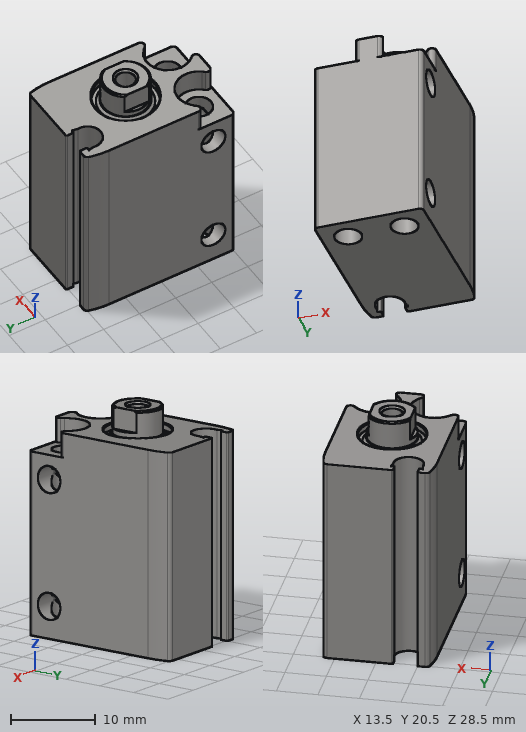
import cadquery as cq
import math

TOTAL_HEIGHT = 28.5
WIDTH = 13.5
DEPTH = 20.5
ROD_PROJECTION = 3.0
HOUSING_HEIGHT = TOTAL_HEIGHT - ROD_PROJECTION
FRONT_TO_ROD = 11.0
HALF_WIDTH = WIDTH / 2
FRONT_Y = -FRONT_TO_ROD
BACK_Y = DEPTH - FRONT_TO_ROD

CORNER_RADIUS = 0.5
SIDE_CURVE_LENGTH = 3.0
SIDE_CURVE_RADIUS = 10.0

MOUNT_DIAMETER = 3.3
MOUNT_X = 3.5
MOUNT_FROM_FRONT = 3.0
MOUNT_Y = FRONT_Y + MOUNT_FROM_FRONT
RECESS_RADIUS = 2.88
RECESS_LINK_LENGTH = 0.43
RECESS_DEPTH = 3.0
CROSS_HOLE_HEIGHTS = (4.0, 19.5)

SLOT_X = -MOUNT_X
MOUTH_HALF_WIDTH = 1.48
MOUTH_DEPTH = 1.05
MOUTH_EDGE_RADIUS = 0.15
SHOULDER_HALF_WIDTH = 1.9
SLOT_RADIUS = 1.8
SLOT_DEPTH = 3.85
SLOT_TAPER_ANGLE = math.radians(8)

ROD_DIAMETER = 6.0
ROD_BORE_DEPTH = 14.25
ROD_CHAMFER = 0.2
FLAT_WIDTH = 5.0
FLAT_LENGTH = 2.68
TAPPED_DIAMETER = 2.45
TAPPED_MOUTH_DIAMETER = 3.0
TAPPED_DEPTH = 5.0
DRILL_POINT_ANGLE = math.radians(118)
WIPER_DIAMETER = 8.1
WIPER_MOUTH_DIAMETER = 8.32
WIPER_MOUTH_CHAMFER = (WIPER_MOUTH_DIAMETER - WIPER_DIAMETER) / 2
WIPER_DEPTH = 0.85
LIP_BASE_DIAMETER = 7.0
LIP_TOP_DIAMETER = 6.15
LIP_HEIGHT = 0.43


def revolve_profile(points):
    """Solid of revolution about Z from (radius, height) points."""
    return cq.Workplane("XZ").polyline(points).close().revolve(360, (0, 0), (0, 1))


def make_housing_block():
    curve_start_y = BACK_Y - SIDE_CURVE_LENGTH

    def inset(length):
        return SIDE_CURVE_RADIUS - math.sqrt(SIDE_CURVE_RADIUS**2 - length**2)

    middle_x = HALF_WIDTH - inset(SIDE_CURVE_LENGTH / 2)
    middle_y = curve_start_y + SIDE_CURVE_LENGTH / 2
    back_x = HALF_WIDTH - inset(SIDE_CURVE_LENGTH)
    block = (
        cq.Workplane("XY")
        .moveTo(-HALF_WIDTH, FRONT_Y)
        .lineTo(HALF_WIDTH, FRONT_Y)
        .lineTo(HALF_WIDTH, curve_start_y)
        .threePointArc((middle_x, middle_y), (back_x, BACK_Y))
        .lineTo(-back_x, BACK_Y)
        .threePointArc((-middle_x, middle_y), (-HALF_WIDTH, curve_start_y))
        .close()
        .extrude(HOUSING_HEIGHT)
    )
    front_edges = block.edges("|Z and <Y")
    back_edges = block.edges("|Z and >Y")
    return block.newObject(front_edges.vals() + back_edges.vals()).fillet(CORNER_RADIUS)


def make_sensor_slot():
    """Keyhole slot with a narrow mouth, open at the back face."""
    center_y = BACK_Y - SLOT_DEPTH + SLOT_RADIUS
    shoulder_y = BACK_Y - MOUTH_DEPTH
    arc_x = SLOT_RADIUS * math.cos(SLOT_TAPER_ANGLE)
    arc_y = center_y + SLOT_RADIUS * math.sin(SLOT_TAPER_ANGLE)
    return (
        cq.Workplane("XY")
        .moveTo(SLOT_X - MOUTH_HALF_WIDTH, BACK_Y)
        .lineTo(SLOT_X - MOUTH_HALF_WIDTH, shoulder_y)
        .lineTo(SLOT_X - SHOULDER_HALF_WIDTH, shoulder_y)
        .lineTo(SLOT_X - arc_x, arc_y)
        .threePointArc((SLOT_X, BACK_Y - SLOT_DEPTH), (SLOT_X + arc_x, arc_y))
        .lineTo(SLOT_X + SHOULDER_HALF_WIDTH, shoulder_y)
        .lineTo(SLOT_X + MOUTH_HALF_WIDTH, shoulder_y)
        .lineTo(SLOT_X + MOUTH_HALF_WIDTH, BACK_Y)
        .close()
        .extrude(HOUSING_HEIGHT)
    )


def round_slot_mouth(housing):
    """Round the four vertical edges of the slot mouth."""
    corners = cq.selectors.BoxSelector(
        (SLOT_X - MOUTH_HALF_WIDTH - MOUTH_EDGE_RADIUS, BACK_Y - MOUTH_DEPTH - MOUTH_EDGE_RADIUS, 0),
        (SLOT_X + MOUTH_HALF_WIDTH + MOUTH_EDGE_RADIUS, BACK_Y + MOUTH_EDGE_RADIUS, HOUSING_HEIGHT),
    )
    return housing.edges("|Z").edges(corners).fillet(MOUTH_EDGE_RADIUS)


def make_left_recess():
    """Left front corner recess: hole-centered arc, short tangent links and rounded ends."""
    radius_sum = RECESS_RADIUS + CORNER_RADIUS
    reach = math.hypot(radius_sum, RECESS_LINK_LENGTH)
    link_angle = math.atan(RECESS_LINK_LENGTH / radius_sum)
    side_dx = MOUNT_X - HALF_WIDTH + CORNER_RADIUS
    side_dy = math.sqrt(reach**2 - side_dx**2)
    front_dy = CORNER_RADIUS - MOUNT_FROM_FRONT
    front_dx = math.sqrt(reach**2 - front_dy**2)
    side_angle = math.atan2(side_dy, side_dx) - link_angle
    front_angle = math.atan2(front_dy, front_dx) + link_angle

    def at(dx, dy, radius=0.0, angle=0.0):
        return (-MOUNT_X + dx + radius * math.cos(angle), MOUNT_Y + dy + radius * math.sin(angle))

    side_toward_hole = side_angle - math.pi
    front_toward_hole = front_angle + math.pi
    side_mid_angle = (side_toward_hole - math.pi) / 2
    front_mid_angle = (front_toward_hole + 1.5 * math.pi) / 2
    arc_mid_angle = (side_angle + front_angle) / 2
    return (
        cq.Workplane("XY")
        .workplane(offset=HOUSING_HEIGHT - RECESS_DEPTH)
        .moveTo(-HALF_WIDTH, FRONT_Y)
        .lineTo(*at(side_dx - CORNER_RADIUS, side_dy))
        .threePointArc(
            at(side_dx, side_dy, CORNER_RADIUS, side_mid_angle),
            at(side_dx, side_dy, CORNER_RADIUS, side_toward_hole),
        )
        .lineTo(*at(0, 0, RECESS_RADIUS, side_angle))
        .threePointArc(
            at(0, 0, RECESS_RADIUS, arc_mid_angle),
            at(0, 0, RECESS_RADIUS, front_angle),
        )
        .lineTo(*at(front_dx, front_dy, CORNER_RADIUS, front_toward_hole))
        .threePointArc(
            at(front_dx, front_dy, CORNER_RADIUS, front_mid_angle),
            at(front_dx, front_dy - CORNER_RADIUS),
        )
        .close()
        .extrude(RECESS_DEPTH)
    )


def make_mounting_holes():
    vertical = (
        cq.Workplane("XY")
        .pushPoints([(-MOUNT_X, MOUNT_Y), (MOUNT_X, MOUNT_Y)])
        .circle(MOUNT_DIAMETER / 2)
        .extrude(HOUSING_HEIGHT)
    )
    across = (
        cq.Workplane("YZ")
        .pushPoints([(MOUNT_Y, height) for height in CROSS_HOLE_HEIGHTS])
        .circle(MOUNT_DIAMETER / 2)
        .extrude(HALF_WIDTH, both=True)
    )
    return vertical.union(across)


def make_rod_bore():
    """Blind rod bore with a wiper recess at the top and a conical lip standing on its floor."""
    floor_z = HOUSING_HEIGHT - WIPER_DEPTH
    lip_top_z = floor_z + LIP_HEIGHT
    bottom_z = HOUSING_HEIGHT - ROD_BORE_DEPTH
    return revolve_profile([
        (0, bottom_z),
        (ROD_DIAMETER / 2, bottom_z),
        (ROD_DIAMETER / 2, lip_top_z),
        (LIP_TOP_DIAMETER / 2, lip_top_z),
        (LIP_BASE_DIAMETER / 2, floor_z),
        (WIPER_DIAMETER / 2, floor_z),
        (WIPER_DIAMETER / 2, HOUSING_HEIGHT - WIPER_MOUTH_CHAMFER),
        (WIPER_MOUTH_DIAMETER / 2, HOUSING_HEIGHT),
        (0, HOUSING_HEIGHT),
    ])


def make_housing():
    housing = round_slot_mouth(make_housing_block().cut(make_sensor_slot()))
    left_recess = make_left_recess()
    housing = housing.cut(left_recess).cut(left_recess.mirror("YZ"))
    return housing.cut(make_mounting_holes()).cut(make_rod_bore())


def make_tapped_hole():
    """Blind hole in the rod end with a countersunk mouth and a drill point."""
    radius = TAPPED_DIAMETER / 2
    mouth_radius = TAPPED_MOUTH_DIAMETER / 2
    end_z = TOTAL_HEIGHT - TAPPED_DEPTH
    return revolve_profile([
        (0, end_z - radius / math.tan(DRILL_POINT_ANGLE / 2)),
        (radius, end_z),
        (radius, TOTAL_HEIGHT - (mouth_radius - radius)),
        (mouth_radius, TOTAL_HEIGHT),
        (0, TOTAL_HEIGHT),
    ])


def make_rod():
    bottom_z = HOUSING_HEIGHT - ROD_BORE_DEPTH
    rod = (
        cq.Workplane("XY")
        .workplane(offset=bottom_z)
        .circle(ROD_DIAMETER / 2)
        .extrude(TOTAL_HEIGHT - bottom_z)
        .faces(">Z")
        .chamfer(ROD_CHAMFER)
    )
    flat_depth = (ROD_DIAMETER - FLAT_WIDTH) / 2
    for side in (-1, 1):
        flat_cut = cq.Workplane("XY").box(flat_depth, ROD_DIAMETER, FLAT_LENGTH)
        flat_x = side * (FLAT_WIDTH + flat_depth) / 2
        rod = rod.cut(flat_cut.translate((flat_x, 0, TOTAL_HEIGHT - FLAT_LENGTH / 2)))
    return rod.cut(make_tapped_hole())


housing = make_housing()
rod = make_rod()
result = cq.Compound.makeCompound([housing.val(), rod.val()])